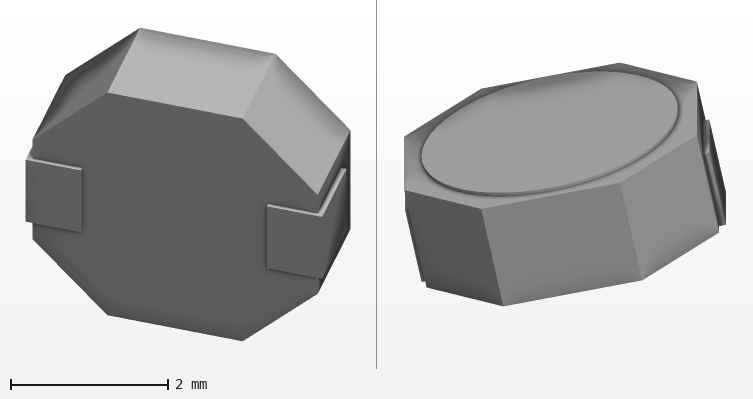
import cadquery as cq

overall_width = 3.95
overall_depth = 1.5

body_height = 3.6
corner_cut = 1.0

side_plate_thickness = 0.075
front_plate_thickness = 0.05
terminal_height = 1.0
terminal_front_length = 0.735
terminal_side_length = 1.035

disc_diameter = 3.33
disc_thickness = 0.05

body_width = overall_width - 2 * side_plate_thickness
body_depth = overall_depth - front_plate_thickness - disc_thickness
front_y = -overall_depth / 2
body_front_y = front_y + front_plate_thickness
body_back_y = body_front_y + body_depth


def make_body():
    return (
        cq.Workplane("XY")
        .box(body_width, body_depth, body_height)
        .edges("|Y")
        .chamfer(corner_cut)
        .translate((0, body_front_y + body_depth / 2, 0))
    )


def make_disc():
    return (
        cq.Workplane("XZ", origin=(0, body_back_y, 0))
        .circle(disc_diameter / 2)
        .extrude(-disc_thickness)
    )


def make_terminal(side):
    """L-shaped terminal; side is -1 for the -X end and 1 for the +X end."""
    outer_x = side * overall_width / 2
    body_x = side * body_width / 2
    inner_x = side * (overall_width / 2 - terminal_front_length)
    return (
        cq.Workplane("XY", origin=(0, 0, -terminal_height / 2))
        .moveTo(outer_x, front_y)
        .lineTo(outer_x, front_y + terminal_side_length)
        .lineTo(body_x, front_y + terminal_side_length)
        .lineTo(body_x, body_front_y)
        .lineTo(inner_x, body_front_y)
        .lineTo(inner_x, front_y)
        .close()
        .extrude(terminal_height)
    )


result = make_body().union(make_disc())
for side in (-1, 1):
    result = result.union(make_terminal(side))